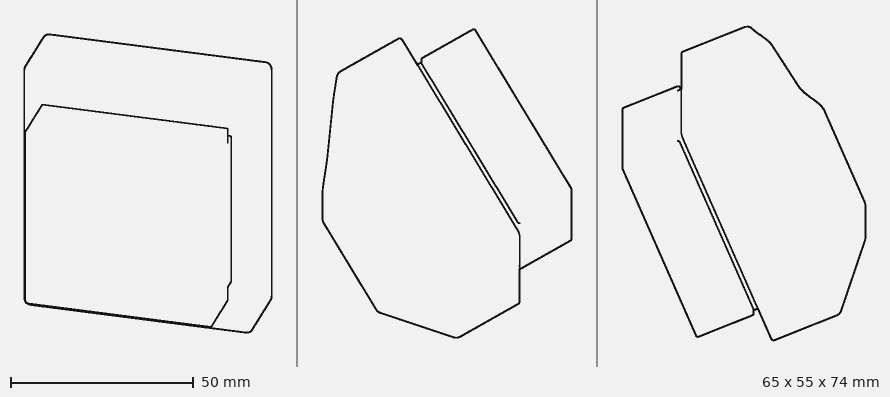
import cadquery as cq
import math

plug_size = 53.0
plug_depth = 17.0
neck_height = 45.0
plug_base_z = 11.0
plug_round = 0.5

housing_width = 65.0
housing_height = 74.0
housing_front_y = 20.0
housing_back_y = 40.0
front_round = 0.5
housing_round = 2.0

grip_back_y = 55.0
grip_back_width = 30.0
slope_angle = math.radians(12)

lower_step_z = 30.3
lower_step_angle = math.radians(45)
lower_convex_radius = 8.0
lower_concave_radius = 10.0
upper_step_z = 65.9
upper_step_angle = math.radians(48)
upper_convex_radius = 8.0


def lean_arc(start, radius, lean_start, lean_end):
    """Midpoint and end, as (y, z), of a rising arc whose lean from vertical changes."""
    turn = math.copysign(radius, lean_end - lean_start)

    def point(lean):
        y = start[0] - turn * (math.cos(lean_start) - math.cos(lean))
        z = start[1] + turn * (math.sin(lean) - math.sin(lean_start))
        return y, z

    return point((lean_start + lean_end) / 2), point(lean_end)


def make_profile():
    """Side outline of housing and grip, extruded across the full width."""
    lower_start = (grip_back_y, lower_step_z)
    lower_convex_mid, lower_turn = lean_arc(lower_start, lower_convex_radius, 0, lower_step_angle)
    lower_concave_mid, slope_start = lean_arc(
        lower_turn, lower_concave_radius, lower_step_angle, slope_angle
    )
    slope_drop = (upper_step_z - slope_start[1]) * math.tan(slope_angle)
    slope_end = (slope_start[0] - slope_drop, upper_step_z)
    upper_convex_mid, upper_turn = lean_arc(
        slope_end, upper_convex_radius, slope_angle, upper_step_angle
    )

    top_edge = (housing_back_y, housing_height)

    return (
        cq.Workplane("YZ")
        .moveTo(housing_front_y, 0)
        .lineTo(grip_back_y, 0)
        .lineTo(*lower_start)
        .threePointArc(lower_convex_mid, lower_turn)
        .threePointArc(lower_concave_mid, slope_start)
        .lineTo(*slope_end)
        .threePointArc(upper_convex_mid, upper_turn)
        .tangentArcPoint(top_edge, relative=False)
        .lineTo(housing_front_y, housing_height)
        .close()
        .extrude(housing_width / 2, both=True)
    )


def make_housing():
    """Side outline intersected with the tapered plan outline, then rounded."""
    half_width = housing_width / 2
    half_back = grip_back_width / 2
    plan = (
        cq.Workplane("XY")
        .polyline([
            (-half_width, housing_front_y),
            (half_width, housing_front_y),
            (half_width, housing_back_y),
            (half_back, grip_back_y),
            (-half_back, grip_back_y),
            (-half_width, housing_back_y),
        ])
        .close()
        .extrude(housing_height)
    )
    rounded = make_profile().intersect(plan).edges("not <Y").fillet(housing_round)
    return rounded.faces("<Y").edges().fillet(front_round)


def make_plug():
    """Plug block with its neck; outer edges are rounded, groove corners stay sharp."""
    groove_corners = "|X exc (<Z or >Z)"
    top_z = plug_base_z + plug_size
    half_gap = (plug_size - neck_height) / 2
    return (
        cq.Workplane("YZ")
        .polyline([
            (0, plug_base_z),
            (plug_depth, plug_base_z),
            (plug_depth, plug_base_z + half_gap),
            (housing_front_y, plug_base_z + half_gap),
            (housing_front_y, top_z - half_gap),
            (plug_depth, top_z - half_gap),
            (plug_depth, top_z),
            (0, top_z),
        ])
        .close()
        .extrude(plug_size / 2, both=True)
        .edges(f"not (>Y or ({groove_corners}))")
        .fillet(plug_round)
    )


result = make_housing().union(make_plug())